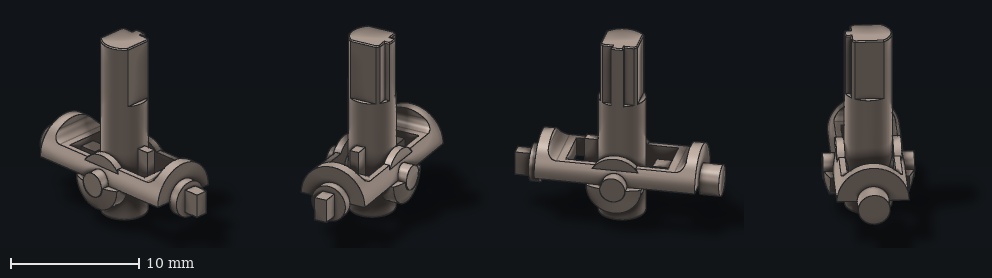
import cadquery as cq
import math


frame_radius = 2.83
frame_half_length = 6.42
rail_top = 1.5
end_wall_thickness = 0.9
end_fillet = 0.79
window_half_length = 4.08
window_half_width = 1.9
hub_radius = 2.2
hub_shoulder_y = 2.55
hub_rim_y = 3.1
hub_dome_radius = 4.94
bearing_diameter = 2.05

stub_diameter = 2.5
stub_length = 1.58
flange_diameter = 3.0
flange_length = 0.74
blade_length = 1.3
blade_width = 1.05
blade_height = 1.94
tongue_length = 1.5
tongue_width = 1.35
tongue_height = blade_height / 2

post_diameter = 3.75
post_radius = post_diameter / 2
post_top = 11.5
post_bottom = -3.75
post_dome_height = 0.36
post_bottom_fillet = 0.2
post_chamfer = 0.1
flats_bottom = 6.48
flats_width = 3.0
key_width = 0.99
key_root_y = 1.38
cross_pin_diameter = 2.0
cross_pin_length = 7.15
lug_reach = 2.91
lug_width = 0.75
lug_top = 2.68
lug_bottom = -0.25


def box(x_range, y_range, z_range):
    """Box spanning the given (low, high) ranges."""
    sizes = [high - low for low, high in (x_range, y_range, z_range)]
    corner = (x_range[0], y_range[0], z_range[0])
    return cq.Workplane("XY").box(*sizes, centered=False).translate(corner)


def cylinder_x(diameter, x_start, length):
    return cq.Workplane("YZ", origin=(x_start, 0, 0)).circle(diameter / 2).extrude(length)


def cylinder_y(diameter, y_start, length):
    return cq.Workplane("XZ", origin=(0, y_start, 0)).circle(diameter / 2).extrude(-length)


def make_hubs():
    """Half disc standing across both rails, and a domed half disc hanging below each."""
    upper_half = (
        cq.Workplane("XZ", origin=(0, -hub_shoulder_y, 0))
        .moveTo(-hub_radius, 0)
        .threePointArc((0, hub_radius), (hub_radius, 0))
        .close()
        .extrude(-2 * hub_shoulder_y)
    )

    def dome_y(radius):
        rim_depth = math.sqrt(hub_dome_radius**2 - hub_radius**2)
        return hub_rim_y + math.sqrt(hub_dome_radius**2 - radius**2) - rim_depth

    mid_radius = hub_radius / 2
    half_profile = (
        cq.Workplane("XY")
        .lineTo(hub_radius, 0)
        .lineTo(hub_radius, hub_rim_y)
        .threePointArc((mid_radius, dome_y(mid_radius)), (0, dome_y(0)))
        .close()
    )
    domed_half = half_profile.revolve(180, (0, 0, 0), (0, 1, 0))
    return [upper_half, domed_half, domed_half.rotate((0, 0, 0), (0, 0, 1), 180)]


def make_frame():
    """Half cylinder cut down between its end walls."""
    half_round = (
        cq.Workplane("YZ", origin=(-frame_half_length, 0, 0))
        .moveTo(-frame_radius, 0)
        .threePointArc((0, frame_radius), (frame_radius, 0))
        .close()
        .extrude(2 * frame_half_length)
    )
    saddle_half_length = frame_half_length - end_wall_thickness
    saddle = box(
        (-saddle_half_length, saddle_half_length),
        (-frame_radius, frame_radius),
        (rail_top, 2 * frame_radius),
    )
    saddle = saddle.edges("|Y and <Z").fillet(end_fillet)
    return half_round.cut(saddle)


def make_yoke():
    yoke = make_frame()
    for hub in make_hubs():
        yoke = yoke.union(hub)

    window = box(
        (-window_half_length, window_half_length),
        (-window_half_width, window_half_width),
        (-frame_radius, frame_radius),
    )
    yoke = yoke.cut(window)
    yoke = yoke.cut(cylinder_y(bearing_diameter, -cross_pin_length, 2 * cross_pin_length))

    yoke = yoke.union(cylinder_x(stub_diameter, -frame_half_length - stub_length, stub_length))
    tongue = box(
        (-window_half_length, -window_half_length + tongue_length),
        (-tongue_width / 2, tongue_width / 2),
        (0, tongue_height),
    )
    yoke = yoke.union(tongue)

    blade_start = frame_half_length + flange_length
    yoke = yoke.union(cylinder_x(flange_diameter, frame_half_length, flange_length))
    blade = box(
        (blade_start, blade_start + blade_length),
        (-blade_width / 2, blade_width / 2),
        (-blade_height / 2, blade_height / 2),
    )
    return yoke.union(blade)


def make_shaft():
    """Round shaft with a domed, softened lower end."""
    dome_rim_z = post_bottom + post_dome_height
    dome_radius = (post_radius**2 + post_dome_height**2) / (2 * post_dome_height)
    mid_radius = post_radius / 2
    mid_z = post_bottom + dome_radius - math.sqrt(dome_radius**2 - mid_radius**2)
    half_profile = (
        cq.Workplane("XZ")
        .moveTo(0, post_bottom)
        .threePointArc((mid_radius, mid_z), (post_radius, dome_rim_z))
        .lineTo(post_radius, post_top)
        .lineTo(0, post_top)
        .close()
    )
    shaft = half_profile.revolve(360, (0, 0, 0), (0, 1, 0))
    rim = cq.selectors.BoxSelector(
        (-post_diameter, -post_diameter, dome_rim_z - post_chamfer),
        (post_diameter, post_diameter, dome_rim_z + post_chamfer),
    )
    return shaft.edges(rim).fillet(post_bottom_fillet)


def cut_keyed_end(shaft):
    """Flats on the -X and +X sides and a key left standing on the +Y side."""
    for side in (-1, 1):
        flat_x = sorted((side * flats_width / 2, side * post_diameter))
        shaft = shaft.cut(box(flat_x, (-post_radius, post_radius), (flats_bottom, post_top)))
        notch_x = sorted((side * key_width / 2, side * post_diameter))
        shaft = shaft.cut(box(notch_x, (key_root_y, post_diameter), (flats_bottom, post_top)))
    return shaft.faces(">Z").chamfer(post_chamfer)


def make_post():
    post = cut_keyed_end(make_shaft())
    post = post.union(cylinder_y(cross_pin_diameter, -cross_pin_length / 2, cross_pin_length))
    lug = box((0, lug_reach), (-lug_width / 2, lug_width / 2), (lug_bottom, lug_top))
    return post.union(lug)


yoke = make_yoke()
post = make_post()
result = cq.Compound.makeCompound([yoke.val(), post.val()])